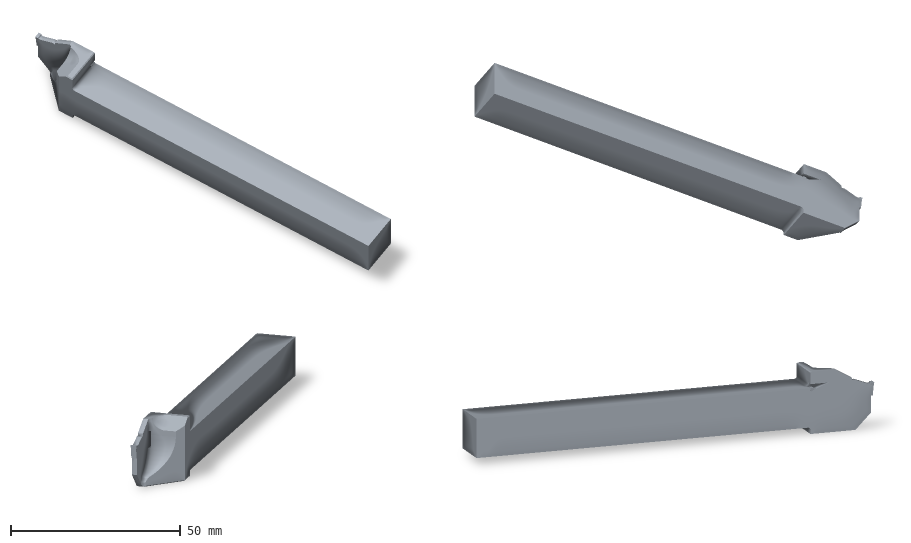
import cadquery as cq
import math


total_length = 125.0
shank_size = 12.0
head_end_x = 20.0
head_top_z = 17.0
head_bottom_z = -2.0
neck_fillet = 0.8
head_chamfer = 0.3
flank_end_x = 15.15

insert_length = head_end_x
cutting_width = 1.95
side_relief = 0.18
insert_body_width = cutting_width - 2 * side_relief
cutting_edge_z = 12.1
insert_bottom_z = 8.1
insert_top_z = 13.25
end_relief = 0.4
land_length = 0.9
groove_start_x = 1.1
groove_end_x = 1.9
groove_z = 11.75
ramp_end_x = 5.8
tip_side_height = 1.1
tip_lower_angle = 28.0

blade_face_y = shank_size - insert_body_width
blade_front_x = 0.95
blade_chamfer_start_z = 2.9
blade_chamfer_leg = blade_chamfer_start_z - head_bottom_z
jaw_front_x = 6.95
jaw_tip_z = 14.0
jaw_slope = 30.0
jaw_slope_end_x = jaw_front_x + (head_top_z - jaw_tip_z) / math.tan(math.radians(jaw_slope))

pocket_radius = 13.0
pocket_axis_z = shank_size
pocket_fillet = 1.0
fillet_start_y = blade_face_y - pocket_fillet
foot_round = 1.0
pocket_foot_x = 6.5
foot_wall_x = 5.8
foot_wall_top_z = -0.7

slot_face_y = 9.75
slot_run_out_x = head_end_x + 2 * neck_fillet

scallop_slope = 33.0
scallop_end_x = 18.1
scallop_flat_y = 5.6
scallop_radius = 4.4

clearance = 10.0
select_margin = 0.1


def side_prism(outline, y_start, y_end):
    """Extrude an X-Z outline from y_start to y_end."""
    prism = cq.Workplane("XZ", origin=(0, y_start, 0)).polyline(outline).close()
    return prism.extrude(-(y_end - y_start))


def make_body():
    """Shank and head with the 45 degree flank, neck fillets and chamfered edges."""
    body = side_prism(
        [
            (blade_front_x, insert_bottom_z),
            (blade_front_x, head_bottom_z),
            (head_end_x, head_bottom_z),
            (head_end_x, 0),
            (total_length, 0),
            (total_length, shank_size),
            (head_end_x, shank_size),
            (head_end_x, head_top_z),
            (jaw_slope_end_x, head_top_z),
            (jaw_front_x, jaw_tip_z),
            (jaw_front_x, insert_bottom_z),
        ],
        0,
        shank_size,
    )
    for neck_z in (0, shank_size):
        neck = cq.selectors.NearestToPointSelector((head_end_x, shank_size / 2, neck_z))
        body = body.edges(neck).fillet(neck_fillet)
    body = body.cut(flank_cutter())
    body = body.faces(">Z").edges("<Y or >X").chamfer(head_chamfer)
    flank_edges = cq.selectors.BoxSelector(
        (flank_end_x - blade_face_y, -select_margin, head_bottom_z - select_margin),
        (head_end_x - select_margin, fillet_start_y - select_margin, head_bottom_z + select_margin),
    )
    body = body.edges(flank_edges).chamfer(head_chamfer)
    return body.cut(blade_corner_cutter())


def blade_corner_cutter():
    """Wedge that takes off the blade's lower front corner at 45 degrees."""
    reach = blade_chamfer_leg + clearance
    wedge = [
        (blade_front_x - clearance, head_bottom_z - clearance),
        (blade_front_x + reach, head_bottom_z - clearance),
        (blade_front_x - clearance, head_bottom_z + reach),
    ]
    return side_prism(wedge, -clearance, shank_size + clearance)


def flank_cutter():
    """Everything outside the 45 degree flank, down to where the pocket's floor fillet begins."""
    return (
        cq.Workplane("XY", origin=(0, 0, head_bottom_z - clearance))
        .polyline(
            [
                (flank_end_x + clearance, -clearance),
                (flank_end_x - fillet_start_y, fillet_start_y),
                (-clearance, fillet_start_y),
                (-clearance, -clearance),
            ]
        )
        .close()
        .extrude(head_top_z - head_bottom_z + 2 * clearance)
    )


def pocket_cutter():
    """Round-walled clearance that leaves the blade, with a fillet along its floor."""
    foot_z = pocket_axis_z - math.sqrt(pocket_radius**2 - pocket_foot_x**2)
    mid_angle = math.acos(pocket_foot_x / pocket_radius) / 2
    arc_middle = (
        pocket_radius * math.cos(mid_angle),
        pocket_axis_z - pocket_radius * math.sin(mid_angle),
    )
    top_z = head_top_z + clearance
    bottom_z = head_bottom_z - clearance
    cutter = (
        cq.Workplane("XZ", origin=(0, -clearance, 0))
        .moveTo(-clearance, top_z)
        .lineTo(pocket_radius, top_z)
        .lineTo(pocket_radius, pocket_axis_z)
        .threePointArc(arc_middle, (pocket_foot_x, foot_z))
        .lineTo(foot_wall_x, foot_wall_top_z)
        .lineTo(foot_wall_x, bottom_z)
        .lineTo(-clearance, bottom_z)
        .close()
        .extrude(-(blade_face_y + clearance))
    )
    foot_corner = cq.selectors.NearestToPointSelector((pocket_foot_x, 0, foot_z))
    cutter = cutter.edges("|Y").edges(foot_corner).fillet(foot_round)
    wall_edges = cq.selectors.BoxSelector(
        (0, blade_face_y - select_margin, bottom_z + select_margin),
        (pocket_radius + select_margin, blade_face_y + select_margin, top_z - select_margin),
    )
    return cutter.faces(">Y").edges(wall_edges).fillet(pocket_fillet)


def scallop_cutter():
    """Groove with a flat floor and one round side, rising along +X to the head's top."""
    slope = math.radians(scallop_slope)
    profile = cq.Plane(
        origin=(scallop_end_x, 0, head_top_z),
        xDir=(0, 1, 0),
        normal=(math.cos(slope), 0, math.sin(slope)),
    )
    side_y = scallop_flat_y + scallop_radius
    corner = scallop_radius * math.sin(math.radians(45))
    return (
        cq.Workplane(profile)
        .moveTo(-clearance, 0)
        .lineTo(scallop_flat_y, 0)
        .threePointArc(
            (scallop_flat_y + corner, scallop_radius - corner),
            (side_y, scallop_radius),
        )
        .lineTo(side_y, 2 * clearance)
        .lineTo(-clearance, 2 * clearance)
        .close()
        .extrude(head_end_x, both=True)
    )


def slot_cutter():
    """Through slot for the insert; it ends in the shank and runs out above the shank."""
    seat = side_prism(
        [
            (-clearance, insert_bottom_z),
            (insert_length - end_relief, insert_bottom_z),
            (insert_length, cutting_edge_z),
            (insert_length, insert_top_z),
            (-clearance, insert_top_z),
        ],
        slot_face_y,
        shank_size + clearance,
    )
    run_out = side_prism(
        [
            (head_end_x - neck_fillet, shank_size),
            (slot_run_out_x, shank_size),
            (slot_run_out_x, insert_top_z),
            (head_end_x - neck_fillet, insert_top_z),
        ],
        slot_face_y,
        shank_size + clearance,
    )
    return seat.union(run_out)


def make_holder():
    """Body with the clearance pocket, the scallop and the insert slot cut into it."""
    holder = make_body().cut(pocket_cutter())
    holder = holder.cut(scallop_cutter())
    return holder.cut(slot_cutter())


def tip_envelope(middle_y):
    """Tapered bar through the cutting edge that narrows from the cutting width to the body."""
    angle = math.radians(tip_lower_angle)
    section = cq.Plane(
        origin=(0, middle_y, cutting_edge_z),
        xDir=(0, 1, 0),
        normal=(math.cos(angle), 0, math.sin(angle)),
    )
    half_width = cutting_width / 2
    half_body = insert_body_width / 2
    return (
        cq.Workplane(section)
        .polyline(
            [
                (-half_width, 0),
                (half_width, 0),
                (half_body, -tip_side_height),
                (-half_body, -tip_side_height),
            ]
        )
        .close()
        .extrude(ramp_end_x, both=True)
    )


def make_insert():
    """Double-ended insert: a slim body with a full-width cutting tip at each end."""
    left_half = [
        (end_relief, insert_bottom_z),
        (0, cutting_edge_z),
        (land_length, cutting_edge_z),
        (groove_start_x, groove_z),
        (groove_end_x, groove_z),
        (ramp_end_x, insert_top_z),
    ]
    right_half = [(insert_length - x, z) for x, z in reversed(left_half)]
    outline = left_half + right_half
    half_width = cutting_width / 2
    middle_y = shank_size + side_relief - half_width
    full_width = side_prism(outline, middle_y - half_width, middle_y + half_width)
    tip = full_width.intersect(tip_envelope(middle_y))
    mirror_base = (insert_length / 2, 0, 0)
    insert = side_prism(outline, blade_face_y, shank_size)
    return insert.union(tip).union(tip.mirror("YZ", mirror_base))


holder = make_holder()
insert = make_insert()
result = cq.Compound.makeCompound([holder.val(), insert.val()])